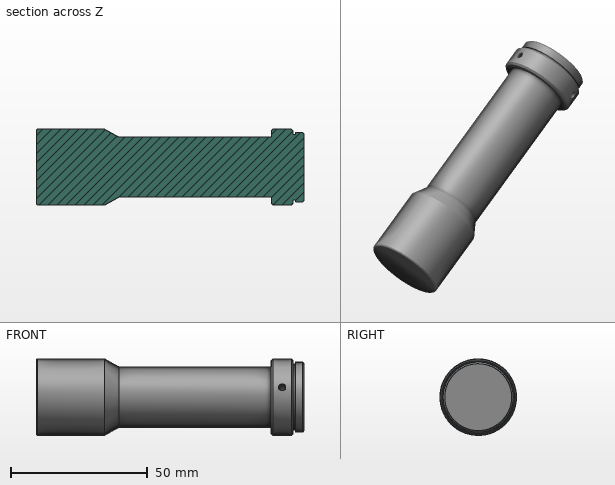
import cadquery as cq
import math

total_length = 98.0
head_radius = 14.0
head_length = 24.9
head_chamfer = 0.4
cone_end = 30.2
tube_radius = 11.1
collar_radius = head_radius
collar_start = 85.9
collar_length = 8.0
collar_chamfer = 0.7
neck_radius = 12.05
rim_radius = 12.8
rim_start = 94.7
rim_chamfer = 0.6
hole_diameter = 2.5
hole_depth = 2.45
hole_drill_angle = 118
hole_count = 3
first_hole_angle = 45

collar_end = collar_start + collar_length
hole_x = collar_start + collar_length / 2


def cylinder(start, end, radius):
    """Solid cylinder along X between two stations."""
    return cq.Workplane("YZ", origin=(start, 0, 0)).circle(radius).extrude(end - start)


def head():
    """Chamfered cylindrical head that tapers down to the tube."""
    profile = [
        (0, 0),
        (0, head_radius - head_chamfer),
        (head_chamfer, head_radius),
        (head_length, head_radius),
        (cone_end, tube_radius),
        (cone_end, 0),
    ]
    return cq.Workplane("XY").polyline(profile).close().revolve(360, (0, 0, 0), (1, 0, 0))


def screw_hole_cutter(angle):
    """Blind radial drill with a conical tip, entering the collar at the given angle."""
    radius = hole_diameter / 2
    floor = collar_radius - hole_depth
    tip_half_angle = math.radians(hole_drill_angle / 2)
    tip = floor - radius / math.tan(tip_half_angle)
    profile = [
        (hole_x, tip),
        (hole_x + radius, floor),
        (hole_x + radius, collar_radius + radius),
        (hole_x, collar_radius + radius),
    ]
    drill = (
        cq.Workplane("XY").polyline(profile).close()
        .revolve(360, (hole_x, 0, 0), (hole_x, 1, 0))
    )
    return drill.rotate((0, 0, 0), (1, 0, 0), angle)


tube = cylinder(cone_end, collar_start, tube_radius)
collar = cylinder(collar_start, collar_end, collar_radius).edges().chamfer(collar_chamfer)
neck = cylinder(collar_end, rim_start, neck_radius)
rim = cylinder(rim_start, total_length, rim_radius).faces(">X").edges().chamfer(rim_chamfer)

result = head().union(tube).union(collar).union(neck).union(rim)

for index in range(hole_count):
    result = result.cut(screw_hole_cutter(first_hole_angle + index * 360 / hole_count))